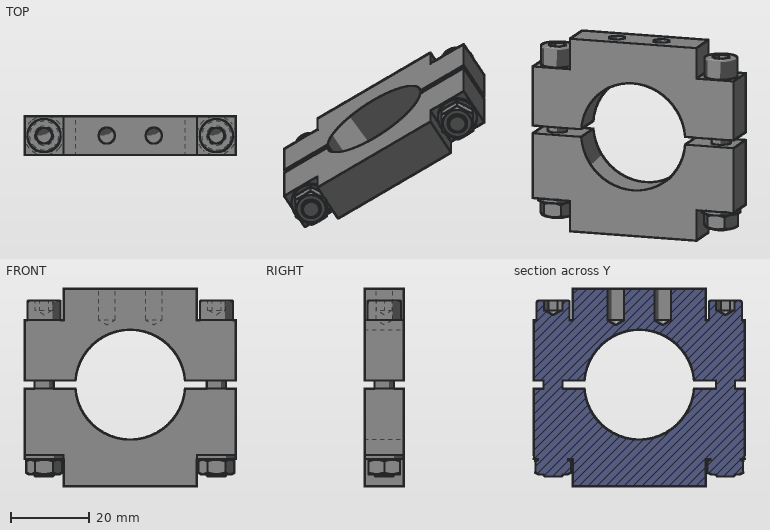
import cadquery as cq
import math


WIDTH = 54.0
THICKNESS = 10.0
CROWN_WIDTH = 34.0
TOP_Z = 24.5
BOTTOM_Z = -26.0
SHOULDER_STEP = 8.0
UPPER_SHOULDER_Z = TOP_Z - SHOULDER_STEP
LOWER_SHOULDER_Z = BOTTOM_Z + SHOULDER_STEP
BORE_DIAMETER = 28.0
SPLIT_GAP = 2.0

MOUNT_HOLE_DIAMETER = 4.13
MOUNT_HOLE_SPACING = 12.0
MOUNT_HOLE_DEPTH = 8.0
DRILL_POINT_ANGLE = 118.0

BOLT_X = (WIDTH + CROWN_WIDTH) / 4
BOLT_DIAMETER = 5.0
BOLT_LENGTH = 40.0
BOLT_TIP_CHAMFER = 0.4
HEAD_DIAMETER = 8.5
HEAD_HEIGHT = 5.0
HEAD_FILLET = 0.5
SOCKET_ACROSS_FLATS = 4.0
SOCKET_DEPTH = 2.5
SOCKET_POINT_ANGLE = 120.0

WASHER_DIAMETER = 10.0
WASHER_THICKNESS = 1.0
NUT_ACROSS_FLATS = 8.0
NUT_HEIGHT = 4.0
NUT_FACE_DIAMETER = 7.4
NUT_CHAMFER_ANGLE = 30.0


def across_corners(across_flats):
    """Corner-to-corner width of a regular hexagon."""
    return across_flats / math.cos(math.radians(30))


def cylinder(diameter, bottom_z, height):
    """Cylinder on the Z axis."""
    return cq.Workplane("XY").workplane(offset=bottom_z).circle(diameter / 2).extrude(height)


def hexagon(across_flats, bottom_z, height):
    """Hexagonal prism on the Z axis with two corners on the X axis."""
    base = cq.Workplane("XY").workplane(offset=bottom_z)
    return base.polygon(6, across_corners(across_flats)).extrude(height)


def pointed_cone(diameter, top_z, point_angle):
    """Downward-pointing cone left by a drill, with its wide end at top_z."""
    radius = diameter / 2
    depth = radius / math.tan(math.radians(point_angle / 2))
    profile = [(0, top_z), (radius, top_z), (0, top_z - depth)]
    return cq.Workplane("XZ").polyline(profile).close().revolve(360, (0, 0, 0), (0, 1, 0))


def clamp_block(width, bottom_z, top_z):
    """Rectangular block of the clamp thickness, centred on X and Y."""
    base = cq.Workplane("XY").workplane(offset=bottom_z)
    return base.rect(width, THICKNESS).extrude(top_z - bottom_z)


def mounting_hole():
    """Blind drilled hole with a conical bottom, on the Z axis."""
    floor_z = TOP_Z - MOUNT_HOLE_DEPTH
    bore = cylinder(MOUNT_HOLE_DIAMETER, floor_z, MOUNT_HOLE_DEPTH)
    return bore.union(pointed_cone(MOUNT_HOLE_DIAMETER, floor_z, DRILL_POINT_ANGLE))


def clamp_body():
    """Both clamp halves with shoulders, bore, split and mounting holes."""
    body = clamp_block(WIDTH, LOWER_SHOULDER_Z, UPPER_SHOULDER_Z)
    body = body.union(clamp_block(CROWN_WIDTH, BOTTOM_Z, TOP_Z))
    bore = cq.Workplane("XZ").circle(BORE_DIAMETER / 2).extrude(THICKNESS / 2, both=True)
    body = body.cut(bore).cut(clamp_block(WIDTH, -SPLIT_GAP / 2, SPLIT_GAP / 2))
    for side in (-1, 1):
        body = body.cut(mounting_hole().translate((side * MOUNT_HOLE_SPACING / 2, 0, 0)))
    return body


def bolt():
    """Socket-head bolt on the Z axis, its head seated on the upper shoulder."""
    head = cylinder(HEAD_DIAMETER, UPPER_SHOULDER_Z, HEAD_HEIGHT)
    head = head.faces(">Z").edges().fillet(HEAD_FILLET)
    socket_floor_z = UPPER_SHOULDER_Z + HEAD_HEIGHT - SOCKET_DEPTH
    socket = hexagon(SOCKET_ACROSS_FLATS, socket_floor_z, SOCKET_DEPTH)
    point = pointed_cone(SOCKET_ACROSS_FLATS, socket_floor_z, SOCKET_POINT_ANGLE)
    shank = cylinder(BOLT_DIAMETER, UPPER_SHOULDER_Z - BOLT_LENGTH, BOLT_LENGTH)
    shank = shank.faces("<Z").edges().chamfer(BOLT_TIP_CHAMFER)
    return head.union(shank).cut(socket).cut(point)


def nut(top_z):
    """Hexagon nut with its corners turned down conically at both faces."""
    bottom_z = top_z - NUT_HEIGHT
    face_radius = NUT_FACE_DIAMETER / 2
    corner_radius = across_corners(NUT_ACROSS_FLATS) / 2
    drop = (corner_radius - face_radius) * math.tan(math.radians(NUT_CHAMFER_ANGLE))
    profile = [
        (0, bottom_z),
        (face_radius, bottom_z),
        (corner_radius, bottom_z + drop),
        (corner_radius, top_z - drop),
        (face_radius, top_z),
        (0, top_z),
    ]
    envelope = cq.Workplane("XZ").polyline(profile).close().revolve(360, (0, 0, 0), (0, 1, 0))
    return hexagon(NUT_ACROSS_FLATS, bottom_z, NUT_HEIGHT).intersect(envelope)


def fastener():
    """Bolt with washer and nut, on the Z axis."""
    washer_bottom_z = LOWER_SHOULDER_Z - WASHER_THICKNESS
    washer = cylinder(WASHER_DIAMETER, washer_bottom_z, WASHER_THICKNESS)
    return bolt().union(washer).union(nut(washer_bottom_z))


result = clamp_body()
for side in (-1, 1):
    result = result.union(fastener().translate((side * BOLT_X, 0, 0)))